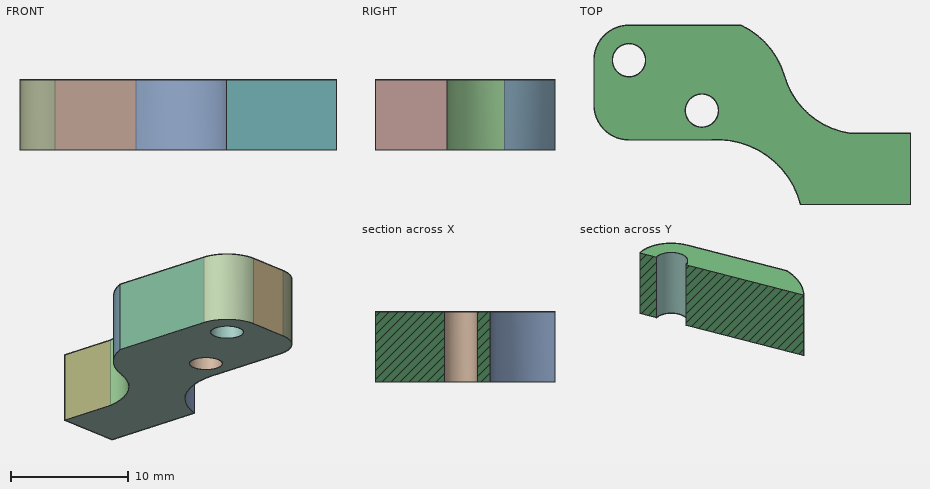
import cadquery as cq

length = 27.0
width = 15.3
thickness = 6.0

head_bottom = 5.5
tail_top = 6.1
corner_radius = 3.0

shoulder_start = (12.53, width)
shoulder_middle = (14.85, 13.55)
neck_start = (16.25, 11.0)
neck_middle = (18.25, 7.78)
neck_end = (21.8, tail_top)

arch_start = (9.9, head_bottom)
arch_middle = (14.85, 4.1)
arch_end = (17.6, 0)

hole_diameter = 2.8
hole_centers = [
    (corner_radius, width - corner_radius),
    (9.2, 8.02),
]

plate = (
    cq.Workplane("XY")
    .moveTo(0, head_bottom)
    .lineTo(*arch_start)
    .threePointArc(arch_middle, arch_end)
    .lineTo(length, 0)
    .lineTo(length, tail_top)
    .lineTo(*neck_end)
    .threePointArc(neck_middle, neck_start)
    .threePointArc(shoulder_middle, shoulder_start)
    .lineTo(0, width)
    .close()
    .extrude(thickness)
    .edges("|Z and <X")
    .fillet(corner_radius)
)

holes = (
    cq.Workplane("XY")
    .pushPoints(hole_centers)
    .circle(hole_diameter / 2)
    .extrude(thickness)
)

result = plate.cut(holes)